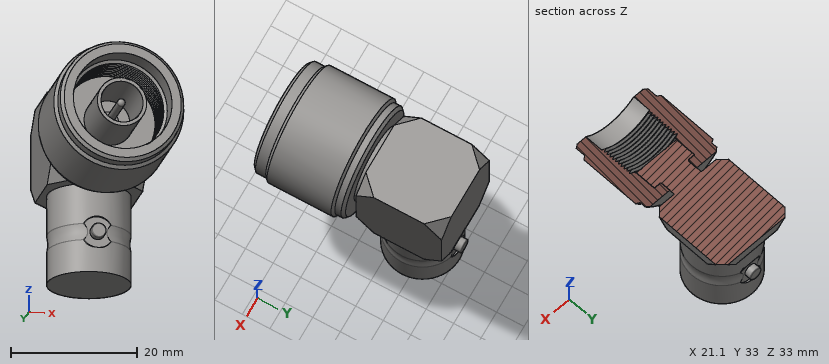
import cadquery as cq
import math


BLOCK_SIZE = 15.5
BLOCK_HALF = BLOCK_SIZE / 2
CORNER_CUT = 3.17

TOTAL_LENGTH = 33.05
FRONT_Y = BLOCK_HALF - TOTAL_LENGTH
STEM_BOTTOM_Z = -22.47

STEM_RADIUS = 6.7

BAYONET_Z = -15.75
GROOVE_HALF_WIDTH = 1.35
GROOVE_DEPTH = 0.175
FLAT_DISTANCE = 6.35
FLAT_RADIUS = 2.6
LUG_RADIUS = 1.2
LUG_REACH = 7.6
LUG_FILLET = 0.1

NUT_LENGTH = 16.6
NUT_RADIUS = 10.55
BAND_STEP = 0.53
BAND_RADIUS = NUT_RADIUS - BAND_STEP
NUT_CHAMFER = 0.53
FRONT_BAND_WIDTH = 2.38
REAR_BAND_WIDTH = 1.65
REAR_STEP_WIDTH = 0.4

BORE_RADIUS = 8.0
BORE_DEPTH = 3.55
THREAD_MINOR_RADIUS = 7.5
THREAD_PITCH = 0.63
THREAD_TURNS = 11
COLLAR_DEPTH = BORE_DEPTH + THREAD_PITCH * THREAD_TURNS
REAR_LIP = 1.98
LIP_DEPTH = NUT_LENGTH - REAR_LIP

SLEEVE_RADIUS = 4.0
SLEEVE_BORE_RADIUS = 3.4
SLEEVE_FRONT_DEPTH = 0.5

SHANK_RADIUS = 1.6
PIN_RADIUS = 0.63
PIN_NOSE_DEPTH = 0.43
ELBOW_CENTRE_DEPTH = -FRONT_Y


def coupling_cylinder(radius, front_depth, rear_depth):
    """Cylinder on the coupling axis between two depths behind the nut front."""
    cylinder = cq.Workplane("XZ", origin=(0, FRONT_Y + front_depth, 0)).circle(radius)
    return cylinder.extrude(front_depth - rear_depth)


def corner_cutter(sx, sy, sz):
    """Tetrahedron that cuts one block corner at CORNER_CUT along each of its three edges."""
    corner = cq.Vector(sx * BLOCK_HALF, sy * BLOCK_HALF, sz * BLOCK_HALF)
    along_x = corner - cq.Vector(sx * CORNER_CUT, 0, 0)
    along_y = corner - cq.Vector(0, sy * CORNER_CUT, 0)
    along_z = corner - cq.Vector(0, 0, sz * CORNER_CUT)
    triangles = [
        (corner, along_x, along_y),
        (corner, along_y, along_z),
        (corner, along_z, along_x),
        (along_x, along_y, along_z),
    ]
    faces = [cq.Face.makeFromWires(cq.Wire.makePolygon(points, close=True)) for points in triangles]
    return cq.Solid.makeSolid(cq.Shell.makeShell(faces))


def elbow_block():
    block = cq.Workplane("XY").box(BLOCK_SIZE, BLOCK_SIZE, BLOCK_SIZE)
    for sx in (-1, 1):
        for sy in (-1, 1):
            for sz in (-1, 1):
                block = block.cut(cq.Workplane(obj=corner_cutter(sx, sy, sz)))
    return block


def stem():
    """Stem with its shallow round groove, two spot-faced flats and two bayonet lugs."""
    groove_bottom = BAYONET_Z - GROOVE_HALF_WIDTH
    groove_top = BAYONET_Z + GROOVE_HALF_WIDTH
    profile = (
        cq.Workplane("XZ")
        .moveTo(0, STEM_BOTTOM_Z)
        .lineTo(STEM_RADIUS, STEM_BOTTOM_Z)
        .lineTo(STEM_RADIUS, groove_bottom)
        .threePointArc((STEM_RADIUS - GROOVE_DEPTH, BAYONET_Z), (STEM_RADIUS, groove_top))
        .lineTo(STEM_RADIUS, 0)
        .lineTo(0, 0)
    )
    body = profile.close().revolve(360, (0, 0, 0), (0, 1, 0))
    for side in (-1, 1):
        outward = cq.Plane(origin=(0, 0, BAYONET_Z), xDir=(1, 0, 0), normal=(0, side, 0))
        flat = cq.Workplane(outward).workplane(offset=FLAT_DISTANCE).circle(FLAT_RADIUS).extrude(STEM_RADIUS)
        lug = cq.Workplane(outward).circle(LUG_RADIUS).extrude(LUG_REACH)
        lug = lug.faces(">Y" if side > 0 else "<Y").edges().fillet(LUG_FILLET)
        body = body.cut(flat).union(lug)
    return body


def plug():
    """Neck through the nut lip, collar that retains the nut, and the hollow plug sleeve."""
    neck = coupling_cylinder(STEM_RADIUS, LIP_DEPTH, ELBOW_CENTRE_DEPTH)
    collar = coupling_cylinder(THREAD_MINOR_RADIUS, COLLAR_DEPTH, LIP_DEPTH)
    sleeve = coupling_cylinder(SLEEVE_RADIUS, SLEEVE_FRONT_DEPTH, COLLAR_DEPTH)
    sleeve_bore = coupling_cylinder(SLEEVE_BORE_RADIUS, SLEEVE_FRONT_DEPTH, COLLAR_DEPTH)
    return neck.union(collar).union(sleeve.cut(sleeve_bore))


def make_housing():
    shank_hole = coupling_cylinder(SHANK_RADIUS, COLLAR_DEPTH, ELBOW_CENTRE_DEPTH)
    return elbow_block().union(stem()).union(plug()).cut(shank_hole)


def make_nut():
    """Coupling nut turned about Y as one profile: banded outside, threaded inside, with a rear lip."""
    rear_y = FRONT_Y + NUT_LENGTH
    end_radius = BAND_RADIUS - NUT_CHAMFER
    front_band_end = FRONT_Y + FRONT_BAND_WIDTH
    rear_band_end = rear_y - REAR_BAND_WIDTH
    profile = (
        cq.Workplane("XY")
        .moveTo(BORE_RADIUS, FRONT_Y)
        .lineTo(end_radius, FRONT_Y)
        .lineTo(BAND_RADIUS, FRONT_Y + NUT_CHAMFER)
        .lineTo(BAND_RADIUS, front_band_end)
        .lineTo(NUT_RADIUS, front_band_end + BAND_STEP)
        .lineTo(NUT_RADIUS, rear_band_end - REAR_STEP_WIDTH)
        .lineTo(BAND_RADIUS, rear_band_end)
        .lineTo(BAND_RADIUS, rear_y - NUT_CHAMFER)
        .lineTo(end_radius, rear_y)
        .lineTo(STEM_RADIUS, rear_y)
        .lineTo(STEM_RADIUS, FRONT_Y + LIP_DEPTH)
        .lineTo(THREAD_MINOR_RADIUS, FRONT_Y + LIP_DEPTH)
    )
    for turn in reversed(range(THREAD_TURNS)):
        root_y = FRONT_Y + BORE_DEPTH + turn * THREAD_PITCH
        profile = profile.lineTo(THREAD_MINOR_RADIUS, root_y + THREAD_PITCH / 2)
        profile = profile.lineTo(BORE_RADIUS, root_y)
    return profile.close().revolve(360, (0, 0, 0), (0, 1, 0))


def make_contact():
    shank = coupling_cylinder(SHANK_RADIUS, COLLAR_DEPTH, ELBOW_CENTRE_DEPTH)
    nose_centre_depth = PIN_NOSE_DEPTH + PIN_RADIUS
    pin = coupling_cylinder(PIN_RADIUS, nose_centre_depth, COLLAR_DEPTH)
    nose = cq.Workplane("XY", origin=(0, FRONT_Y + nose_centre_depth, 0)).sphere(PIN_RADIUS)
    return shank.union(pin).union(nose)


housing = make_housing()
nut = make_nut()
contact = make_contact()

result = cq.Compound.makeCompound([body.solids().val() for body in (housing, nut, contact)])